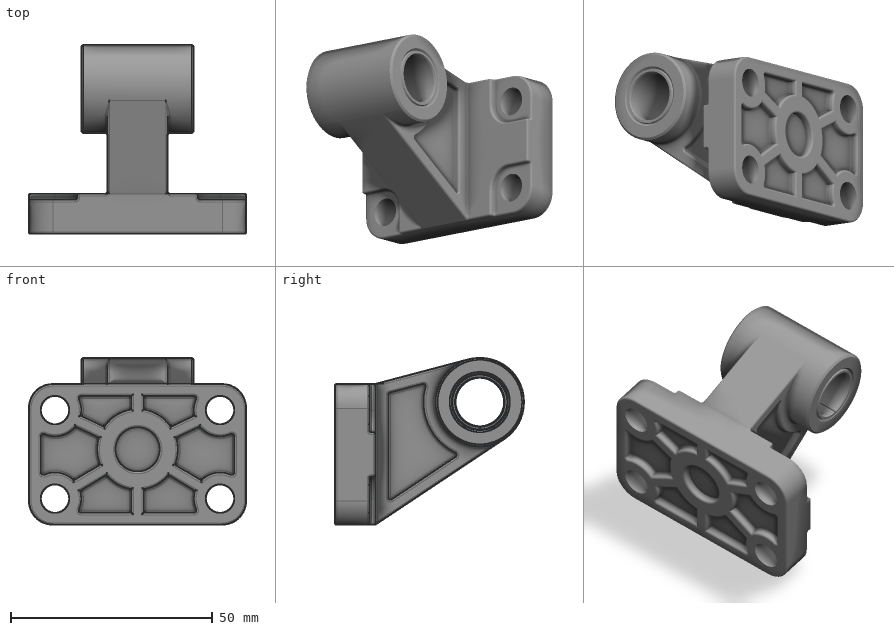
import cadquery as cq
import math

PLATE_WIDTH = 54.0
PLATE_HEIGHT = 35.0
PLATE_THICKNESS = 10.0
PLATE_CORNER_RADIUS = 6.0
HOLE_DIAMETER = 7.0
HOLE_SPACING_X = 41.0
HOLE_SPACING_Z = 22.0

EDGE_RADIUS = 0.5

BOLT_SEAT_DEPTH = 1.5
BOLT_SEAT_RADIUS = 5.5

POCKET_DEPTH = 2.0
POCKET_BORDER = 3.0
POCKET_CORNER_RADIUS = 0.6
RIB_WIDTH = 3.0
RECESS_DIAMETER = 11.0
RECESS_DEPTH = 2.0
RECESS_OFFSET_Z = 1.25
RING_RADIUS = 10.0
HOLE_BOSS_RADIUS = 6.5

BOSS_DIAMETER = 22.0
BOSS_LENGTH = 28.0
BOSS_CHAMFER = 0.5
BOSS_Y = 36.0
BOSS_Z = 13.0

BORE_DIAMETER = 12.0
BUSHING_DIAMETER = 14.0
BUSHING_CHAMFER = 0.2
BUSHING_CHAMFER_LENGTH = 0.5
BUSHING_GAP = 0.25
BUSHING_SEAT_CHAMFER = 0.5

WEB_THICKNESS = 15.0
WEB_ROOT_Y = PLATE_THICKNESS / 2
WEB_POCKET_DEPTH = 1.5
WEB_POCKET_BORDER = 3.0
WEB_POCKET_ROOT_GAP = 3.2
WEB_POCKET_ROOT_Y = PLATE_THICKNESS + WEB_POCKET_ROOT_GAP
WEB_POCKET_ARC_RADIUS = BOSS_DIAMETER / 2 + WEB_POCKET_BORDER

SMALL = 0.01

HOLE_CENTRES = [
    (side_x * HOLE_SPACING_X / 2, side_z * HOLE_SPACING_Z / 2) for side_x in (-1, 1) for side_z in (-1, 1)
]


def along_y(y_start, length, sketch):
    """Extrude an (X, Z) outline from y_start towards +Y; sketch draws it on the given workplane."""
    plane = cq.Plane(origin=(0, y_start, 0), xDir=(1, 0, 0), normal=(0, -1, 0))
    return sketch(cq.Workplane(plane)).extrude(-length)


def along_x(length, sketch):
    """Extrude a (Y, Z) outline by length, centred on X = 0."""
    return sketch(cq.Workplane("YZ", origin=(-length / 2, 0, 0))).extrude(length)


def bolt_seat(centre_x, centre_z):
    """Cutter for the seat round one hole, reaching past the two nearest sides of the plate."""
    size = PLATE_WIDTH / 2
    seat_x = centre_x + math.copysign(size / 2 - BOLT_SEAT_RADIUS, centre_x)
    seat_z = centre_z + math.copysign(size / 2 - BOLT_SEAT_RADIUS, centre_z)
    floor_y = PLATE_THICKNESS - BOLT_SEAT_DEPTH
    seat = along_y(floor_y, BOLT_SEAT_DEPTH, lambda wp: wp.center(seat_x, seat_z).rect(size, size))
    return seat.edges("|Y").fillet(BOLT_SEAT_RADIUS).faces("<Y").edges().fillet(EDGE_RADIUS)


def pocket_cutter(sketch):
    """Cutter of pocket depth from the front face, drawn by sketch."""
    return along_y(0, POCKET_DEPTH, sketch)


def front_pockets():
    """Cutter for the six pockets left between the border, the ring, the hole bosses and the ribs."""
    inner_width = PLATE_WIDTH - 2 * POCKET_BORDER
    inner_height = PLATE_HEIGHT - 2 * POCKET_BORDER
    pockets = pocket_cutter(lambda wp: wp.rect(inner_width, inner_height))
    pockets = pockets.cut(pocket_cutter(lambda wp: wp.pushPoints(HOLE_CENTRES).circle(HOLE_BOSS_RADIUS)))
    pockets = pockets.edges("|Y").fillet(POCKET_CORNER_RADIUS)
    pockets = pockets.cut(pocket_cutter(lambda wp: wp.center(0, RECESS_OFFSET_Z).circle(RING_RADIUS)))
    pockets = pockets.cut(pocket_cutter(lambda wp: wp.rect(RIB_WIDTH, PLATE_HEIGHT)))
    for x, z in HOLE_CENTRES:
        rise = z - RECESS_OFFSET_Z
        middle = (x / 2, RECESS_OFFSET_Z + rise / 2)
        angle = math.degrees(math.atan2(rise, x))
        length = math.hypot(x, rise)
        rib = pocket_cutter(
            lambda wp: wp.center(*middle).transformed(rotate=(0, 0, angle)).rect(length, RIB_WIDTH)
        )
        pockets = pockets.cut(rib)
    return pockets.faces(">Y").edges().fillet(EDGE_RADIUS)


def plate():
    """Flange plate with its pockets, recess and bolt seats; the back edges are still sharp."""
    body = along_y(0, PLATE_THICKNESS, lambda wp: wp.rect(PLATE_WIDTH, PLATE_HEIGHT))
    body = body.edges("|Y").fillet(PLATE_CORNER_RADIUS)
    body = body.cut(front_pockets())
    recess = along_y(0, RECESS_DEPTH, lambda wp: wp.center(0, RECESS_OFFSET_Z).circle(RECESS_DIAMETER / 2))
    body = body.cut(recess)
    body = body.faces("<Y").edges().fillet(EDGE_RADIUS)

    for centre in HOLE_CENTRES:
        body = body.cut(bolt_seat(*centre))
    return body


def tangent_angle(root_z):
    """Direction, in the YZ plane, of the boss radius that meets the tangent from a plate back corner."""
    away = math.hypot(BOSS_Y - PLATE_THICKNESS, BOSS_Z - root_z)
    towards_root = math.atan2(root_z - BOSS_Z, PLATE_THICKNESS - BOSS_Y)
    spread = math.acos(BOSS_DIAMETER / 2 / away)
    return towards_root - math.copysign(spread, root_z)


def boss_point(angle, radius):
    """Point (Y, Z) at a radius and an angle from the boss axis."""
    return (BOSS_Y + radius * math.cos(angle), BOSS_Z + radius * math.sin(angle))


TOP_Z = PLATE_HEIGHT / 2
TOP_ANGLE = tangent_angle(TOP_Z)
BOTTOM_ANGLE = tangent_angle(-TOP_Z)


def web_outline(workplane):
    """Outline from the plate to the boss axis whose top and bottom sides are tangent to the boss."""
    radius = BOSS_DIAMETER / 2
    return (
        workplane.moveTo(WEB_ROOT_Y, TOP_Z)
        .lineTo(PLATE_THICKNESS, TOP_Z)
        .lineTo(*boss_point(TOP_ANGLE, radius))
        .lineTo(BOSS_Y, BOSS_Z)
        .lineTo(*boss_point(BOTTOM_ANGLE, radius))
        .lineTo(PLATE_THICKNESS, -TOP_Z)
        .lineTo(WEB_ROOT_Y, -TOP_Z)
        .close()
    )


def boss_cylinder(length, diameter):
    """Cylinder on the boss axis."""
    return along_x(length, lambda wp: wp.center(BOSS_Y, BOSS_Z).circle(diameter / 2))


def between_y(y_from, y_to):
    """Selector for what has its centre between two Y positions."""
    far = 2 * PLATE_WIDTH
    return cq.selectors.BoxSelector((-far, y_from - SMALL, -far), (far, y_to + SMALL, far))


def web_pocket(side):
    """Cutter for the pocket in one flank of the web; side is -1 or 1 along X."""
    floor_x = WEB_THICKNESS / 2 - WEB_POCKET_DEPTH
    pocket = web_outline(cq.Workplane("YZ", origin=(floor_x, 0, 0))).offset2D(-WEB_POCKET_BORDER)
    pocket = pocket.extrude(WEB_POCKET_DEPTH)
    pocket = pocket.cut(cq.Workplane("XY").box(WEB_THICKNESS, 2 * WEB_POCKET_ROOT_Y, 2 * PLATE_HEIGHT))
    pocket = pocket.cut(boss_cylinder(WEB_THICKNESS, 2 * WEB_POCKET_ARC_RADIUS))
    pocket = pocket.edges("|X").fillet(POCKET_CORNER_RADIUS).faces("<X").edges().fillet(EDGE_RADIUS)
    return pocket if side > 0 else pocket.mirror("YZ")


def web():
    """Web with a pocket in each flank; its sides and the pocket mouths are rounded."""
    body = along_x(WEB_THICKNESS, web_outline)
    for side in (-1, 1):
        body = body.cut(web_pocket(side))
    lower_tangent_y = boss_point(BOTTOM_ANGLE, BOSS_DIAMETER / 2)[0]
    flank_edges = body.faces("<X or >X").edges(between_y(PLATE_THICKNESS, lower_tangent_y))
    return flank_edges.fillet(EDGE_RADIUS)


def boss():
    """Bearing boss with chamfered ends."""
    return boss_cylinder(BOSS_LENGTH, BOSS_DIAMETER).faces("<X or >X").chamfer(BOSS_CHAMFER)


def round_plate_back(body):
    """Round the back edges of the plate, the open seat edges and the foot of the web."""
    back_faces = body.faces("|Y").faces(between_y(PLATE_THICKNESS, PLATE_THICKNESS))
    seat_ends = body.edges("|Y").edges(">X or <X or >Z or <Z")
    seat_ends = seat_ends.edges(between_y(PLATE_THICKNESS - BOLT_SEAT_DEPTH, PLATE_THICKNESS))
    return back_faces.edges().add(seat_ends).fillet(EDGE_RADIUS)


def is_boss_root(edge):
    """True for an arc of the boss radius that lies on a flank of the web."""
    on_boss = abs(edge.radius() - BOSS_DIAMETER / 2) < SMALL
    on_flank = abs(abs(edge.Center().x) - WEB_THICKNESS / 2) < SMALL
    return on_boss and on_flank


def round_boss_root(body):
    """Round the arcs where the web flanks meet the boss."""
    return body.edges("%CIRCLE").filter(is_boss_root).fillet(EDGE_RADIUS)


def bushing_seat():
    """Cutter for the hole that takes the bushing, widened by a chamfer at both ends of the boss."""
    seat = boss_cylinder(BOSS_LENGTH, BUSHING_DIAMETER)
    for end_x in (-BOSS_LENGTH / 2, BOSS_LENGTH / 2):
        mouth = cq.Solid.makeCone(
            BUSHING_DIAMETER / 2 + BUSHING_SEAT_CHAMFER,
            BUSHING_DIAMETER / 2,
            BUSHING_SEAT_CHAMFER,
            cq.Vector(end_x, BOSS_Y, BOSS_Z),
            cq.Vector(-end_x, 0, 0),
        )
        seat = seat.union(cq.Workplane(mouth))
    return seat


def bushing():
    """Rolled bushing, flush with the boss ends, chamfered and with a seam gap at its bottom."""
    inner_radius = BORE_DIAMETER / 2
    outer_radius = BUSHING_DIAMETER / 2
    end_x = BOSS_LENGTH / 2
    straight_x = end_x - BUSHING_CHAMFER_LENGTH
    profile = [
        (-straight_x, -outer_radius),
        (straight_x, -outer_radius),
        (end_x, BUSHING_CHAMFER - outer_radius),
        (end_x, -inner_radius - BUSHING_CHAMFER),
        (straight_x, -inner_radius),
        (-straight_x, -inner_radius),
        (-end_x, -inner_radius - BUSHING_CHAMFER),
        (-end_x, BUSHING_CHAMFER - outer_radius),
    ]
    axis_plane = cq.Workplane("XZ", origin=(0, BOSS_Y, BOSS_Z))
    tube = axis_plane.polyline(profile).close().revolve(360, (0, 0, 0), (1, 0, 0))
    gap_height = outer_radius
    gap = cq.Workplane("XY").box(BOSS_LENGTH, BUSHING_GAP, gap_height)
    return tube.cut(gap.translate((0, BOSS_Y, BOSS_Z - gap_height / 2)))


def bolt_holes():
    """Cutter for the four bolt holes through the plate."""
    return along_y(0, PLATE_THICKNESS, lambda wp: wp.pushPoints(HOLE_CENTRES).circle(HOLE_DIAMETER / 2))


body = round_plate_back(plate().union(web()))
body = round_boss_root(body.union(boss()))
result = body.cut(bushing_seat()).union(bushing()).cut(bolt_holes())